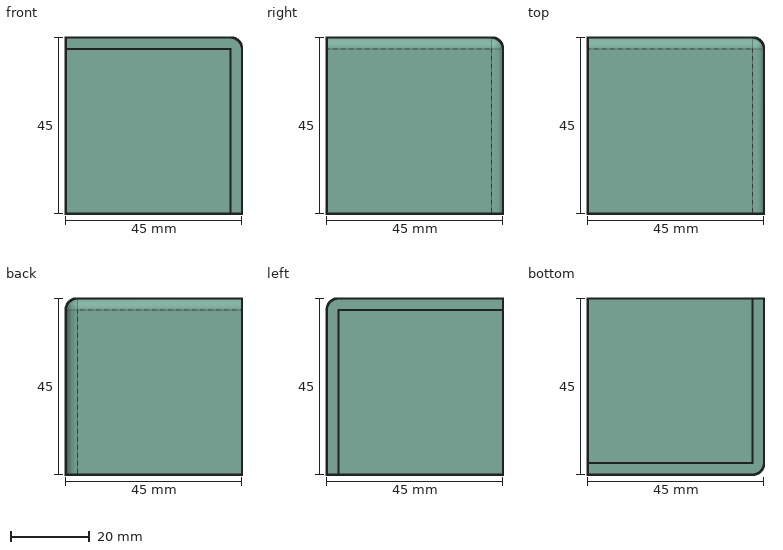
import cadquery as cq

side = 45.0
wall = 3.0
corner_radius = wall
inner_side = side - wall

outer_block = (
    cq.Workplane("XY")
    .box(side, side, side, centered=False)
    .edges("(>X and >Y) or (>X and >Z) or (>Y and >Z)")
    .fillet(corner_radius)
)

cavity = cq.Workplane("XY").box(inner_side, inner_side, inner_side, centered=False)

result = outer_block.cut(cavity)